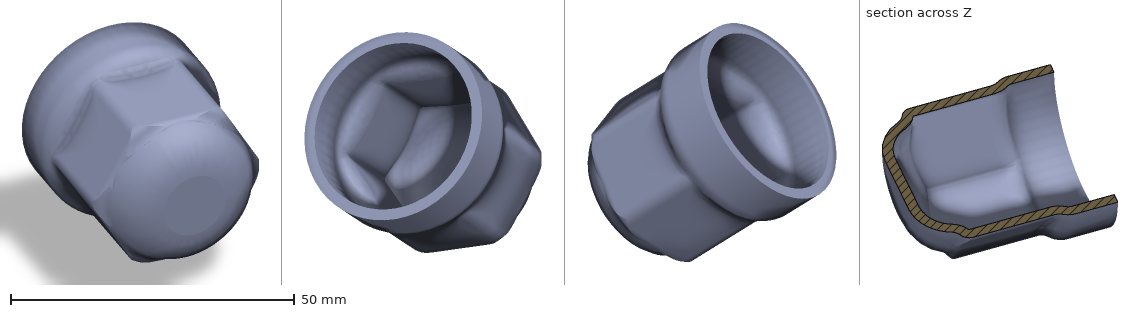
import cadquery as cq
import math

length = 35.3
skirt_diameter = 34.6
bore_diameter = 30.6
skirt_straight = 7.95
shoulder_round = 4.0
blend_radius = 2.5
hex_flats = 28.75
hex_corner_round = 2.5
hex_flat_end = 28.03
tip_flat_radius = 6.0
cavity_corner_round = 0.85

wall = (skirt_diameter - bore_diameter) / 2
hex_end_round = wall
apothem = hex_flats / 2
dome_round = apothem - tip_flat_radius
dome_start = length - dome_round
seam_margin = 0.35
corner_factor = 1 / math.cos(math.pi / 6)




def hexagon(inset, end, corner_round):
    """Hexagonal bar from x = 0 with rounded corners, two of them on the Y axis."""
    across_corners = 2 * (apothem - inset) * corner_factor
    return cq.Workplane("YZ").polygon(6, across_corners).extrude(end).edges("|X").fillet(corner_round)


def neck(inset, corner_round):
    """Round skirt with a rounded shoulder, blended into a hexagonal bar."""
    shoulder_end = skirt_straight + shoulder_round - inset
    skirt = cq.Workplane("YZ").circle(skirt_diameter / 2 - inset).extrude(shoulder_end)
    skirt = skirt.faces(">X").edges().fillet(shoulder_round - inset)
    body = skirt.union(hexagon(inset, dome_start, corner_round))

    def on_seam(edge):
        box = edge.BoundingBox()
        return box.xmin > skirt_straight + seam_margin and box.xmax < shoulder_end + seam_margin

    seam = [edge for edge in body.edges().vals() if on_seam(edge)]
    return body.newObject(seam).fillet(blend_radius + inset)


def dome(inset):
    """Turned dome with a flat tip; its cylinder would touch the hexagon flats."""
    radius = dome_round - inset
    diagonal = radius * math.sqrt(0.5)
    profile = (
        cq.Workplane("XY")
        .moveTo(dome_start, 0)
        .lineTo(dome_start, tip_flat_radius + radius)
        .threePointArc(
            (dome_start + diagonal, tip_flat_radius + diagonal),
            (dome_start + radius, tip_flat_radius),
        )
        .lineTo(dome_start + radius, 0)
        .close()
    )
    return profile.revolve(360, (0, 0, 0), (1, 0, 0))


def corner_envelope(inset):
    """Turned solid that rounds the hexagon corners and blends them into the dome."""
    corner_round = hex_end_round - inset
    blend = blend_radius + inset
    dome_radius = dome_round - inset

    corner_center = (apothem - hex_corner_round) * corner_factor + hex_corner_round - hex_end_round
    to_corner = corner_round + blend
    to_dome = dome_radius + blend
    spacing = corner_center - tip_flat_radius
    blend_rise = (to_dome**2 - to_corner**2 + spacing**2) / (2 * spacing)
    blend_x = dome_start + math.sqrt(to_dome**2 - blend_rise**2)
    blend_center = tip_flat_radius + blend_rise
    corner_angle = math.atan2(blend_center - corner_center, blend_x - dome_start)
    dome_angle = math.atan2(blend_rise, blend_x - dome_start)

    def on_corner(angle):
        return (dome_start + corner_round * math.cos(angle), corner_center + corner_round * math.sin(angle))

    def on_blend(angle):
        return (blend_x - blend * math.cos(angle), blend_center - blend * math.sin(angle))

    profile = cq.Workplane("XY").moveTo(dome_start, 0).lineTo(*on_corner(math.pi / 2))
    if corner_round > 0:
        profile = profile.threePointArc(on_corner((corner_angle + math.pi / 2) / 2), on_corner(corner_angle))
    profile = profile.threePointArc(on_blend((corner_angle + dome_angle) / 2), on_blend(dome_angle))
    profile = profile.lineTo(on_blend(dome_angle)[0], 0).close()
    return profile.revolve(360, (0, 0, 0), (1, 0, 0))


def crown(inset, corner_round):
    """Closed end: rounded hexagon end carrying the dome."""
    end_round = hex_end_round - inset
    bar = hexagon(inset, hex_flat_end + hex_end_round, corner_round)
    if end_round > 0:
        bar = bar.faces(">X").edges().fillet(end_round)
    return bar.intersect(corner_envelope(inset)).union(dome(inset))


def cap_body(inset, corner_round):
    """Complete solid shape, from the open rim to the closed tip."""
    return neck(inset, corner_round).union(crown(inset, corner_round))


result = cap_body(0, hex_corner_round).cut(cap_body(wall, cavity_corner_round))